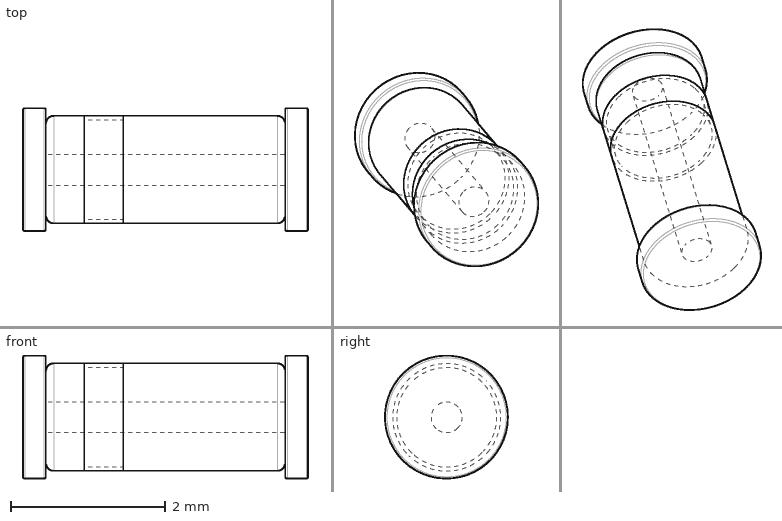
import cadquery as cq

total_length = 3.7

cap_diameter = 1.6
cap_length = 0.3
cap_edge_radius = 0.025
core_diameter = 0.4

glass_diameter = 1.4
glass_length = total_length - 2 * cap_length
glass_edge_radius = 0.1

band_offset = 0.8
band_width = 0.5
band_thickness = 0.05

left_end = -total_length / 2
glass_start = left_end + cap_length
glass_end = glass_start + glass_length


def cylinder_along_x(start, length, diameter):
    """Solid cylinder on the X axis, starting at x = start."""
    return cq.Workplane("YZ", origin=(start, 0, 0)).circle(diameter / 2).extrude(length)


def make_cap(start):
    """End cap: a disc with both rims rounded."""
    disc = cylinder_along_x(start, cap_length, cap_diameter)
    return disc.edges("%CIRCLE").fillet(cap_edge_radius)


def make_core():
    """Rod that joins the inner faces of the two caps."""
    return cylinder_along_x(glass_start, glass_length, core_diameter)


def make_electrode():
    """Both caps and the core as one solid."""
    electrode = make_core()
    for start in (left_end, glass_end):
        electrode = electrode.union(make_cap(start))
    return electrode


def make_band():
    """Thin marking ring, flush with the outside of the glass."""
    start = left_end + band_offset
    outside = cylinder_along_x(start, band_width, glass_diameter)
    inside = cylinder_along_x(start, band_width, glass_diameter - 2 * band_thickness)
    return outside.cut(inside)


def make_glass():
    """Glass sleeve with rounded ends, a bore for the core and a groove for the band."""
    sleeve = cylinder_along_x(glass_start, glass_length, glass_diameter)
    sleeve = sleeve.edges("%CIRCLE").fillet(glass_edge_radius)
    return sleeve.cut(make_core()).cut(make_band())


electrode = make_electrode()
glass = make_glass()
band = make_band()

result = cq.Compound.makeCompound([*electrode.solids().vals(), *glass.solids().vals(), *band.solids().vals()])